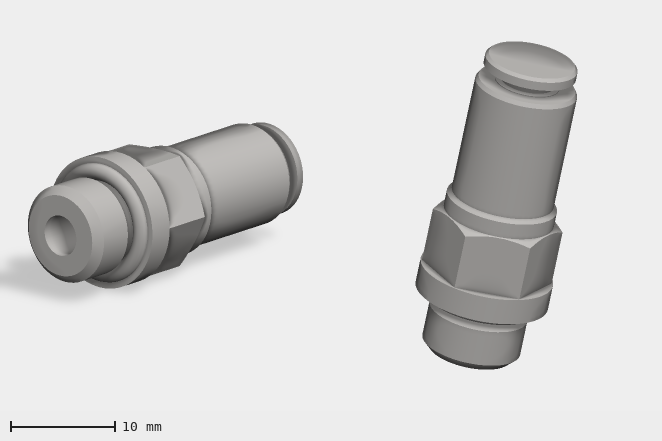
import cadquery as cq
import math


total_length = 31.0
thread_chamfer = 0.8
thread_end = 4.35
relief_start = 4.98
flange_start = 6.0
hex_start = 8.55
hex_end = 14.5
collar_end = 16.45
body_end = 28.5
lip_end = 28.58
lip_cone_end = 28.65
neck_end = 29.6
ring_start = 29.85

thread_radius = 4.8
relief_radius = 4.17
flange_radius = 6.5
collar_radius = 5.4
body_radius = 5.0
lip_outer_radius = 3.15
lip_inner_radius = 2.7
neck_radius = 2.6
ring_radius = 4.53

collar_chamfer = collar_radius - body_radius
body_chamfer_height = 0.4
body_chamfer_depth = 0.25
neck_flare = ring_start - neck_end
ring_chamfer = 0.3

hex_sides = 6
hex_across_flats = 11.0
hex_across_corners = hex_across_flats / math.cos(math.pi / hex_sides)
hex_chamfer_angle = 30.0

seal_inner_radius = relief_radius
seal_outer_radius = 5.9
seal_section_radius = (seal_outer_radius - seal_inner_radius) / 2
seal_center_radius = (seal_outer_radius + seal_inner_radius) / 2
seal_projection = 0.68
seal_center_y = flange_start - seal_projection + seal_section_radius

bore_radius = 2.0
bore_depth = 5.0


def revolve_about_y(profile):
    """Turn a closed X-Y profile a full revolution about the Y axis."""
    return profile.revolve(360, (0, 0, 0), (0, 1, 0))


def make_turned_body():
    """Every round step from the thread to the release ring."""
    outline = [
        (0, 0),
        (thread_radius - thread_chamfer, 0),
        (thread_radius, thread_chamfer),
        (thread_radius, thread_end),
        (relief_radius, relief_start),
        (relief_radius, flange_start),
        (flange_radius, flange_start),
        (flange_radius, hex_start),
        (collar_radius, hex_start),
        (collar_radius, collar_end - collar_chamfer),
        (body_radius, collar_end),
        (body_radius, body_end - body_chamfer_height),
        (body_radius - body_chamfer_depth, body_end),
        (lip_outer_radius, body_end),
        (lip_outer_radius, lip_end),
        (lip_inner_radius, lip_cone_end),
        (neck_radius, lip_cone_end),
        (neck_radius, neck_end),
        (neck_radius + neck_flare, ring_start),
        (ring_radius, ring_start),
        (ring_radius, total_length - ring_chamfer),
        (ring_radius - ring_chamfer, total_length),
        (0, total_length),
    ]
    return revolve_about_y(cq.Workplane("XY").polyline(outline).close())


def make_hexagon():
    """Wrench hexagon with its corners on the X axis, coned off at the tube side down to the collar."""
    prism = (
        cq.Workplane("XZ", origin=(0, hex_start, 0))
        .polygon(hex_sides, hex_across_corners)
        .extrude(hex_start - hex_end)
    )
    cone_drop = (flange_radius - collar_radius) * math.tan(math.radians(hex_chamfer_angle))
    envelope = [
        (0, hex_start),
        (flange_radius, hex_start),
        (flange_radius, hex_end - cone_drop),
        (collar_radius, hex_end),
        (0, hex_end),
    ]
    return prism.intersect(revolve_about_y(cq.Workplane("XY").polyline(envelope).close()))


def make_seal():
    """O-ring partly sunk into the flange face."""
    section = cq.Workplane("XY").center(seal_center_radius, seal_center_y).circle(seal_section_radius)
    return section.revolve(360, (-seal_center_radius, 0, 0), (-seal_center_radius, 1, 0))


def make_bore():
    """Blind flat-bottomed bore entering the threaded end."""
    return cq.Workplane("XZ").circle(bore_radius).extrude(-bore_depth)


result = make_turned_body().union(make_hexagon()).union(make_seal()).cut(make_bore())